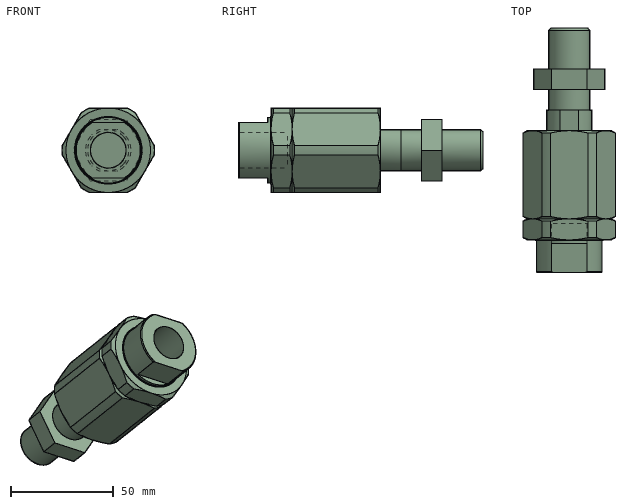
import cadquery as cq
import math

total_length = 119.0
wrench_flat_length = 14.3
cap_start = 16.0
cap_length = 10.2
body_length = 42.8
collar_length = 10.0
neck_length = 10.0
nut_thickness = 10.0

body_start = cap_start + cap_length
collar_start = body_start + body_length
stud_start = collar_start + collar_length
nut_start = stud_start + neck_length

body_across_flats = 41.0
body_corner_diameter = 45.0
hex_chamfer_angle = 30.0

stud_diameter = 20.0
stud_chamfer = 1.2
collar_diameter = 22.0
collar_across_flats = stud_diameter
nut_across_flats = 30.0

socket_diameter = 32.0
socket_across_flats = 27.0
socket_chamfer = 0.5
bore_diameter = 17.3
bore_depth = 23.8

shoulder_diameter = 32.8
shoulder_height = 0.4


def cylinder(diameter, start, length):
    """Cylinder along +Y beginning at the given station."""
    plane = cq.Workplane("XZ", origin=(0, start, 0))
    return plane.circle(diameter / 2).extrude(-length)


def hexagon(across_flats, start, length):
    """Hexagonal prism along +Y with two flats facing up and down."""
    corner_diameter = across_flats / math.cos(math.radians(30))
    plane = cq.Workplane("XZ", origin=(0, start, 0))
    return plane.polygon(6, corner_diameter).extrude(-length)


def chamfered_hexagon(start, length):
    """Hexagonal prism with turned corners and conical chamfers at both ends."""
    radial_drop = (body_corner_diameter - body_across_flats) / 2
    axial_drop = radial_drop * math.tan(math.radians(hex_chamfer_angle))
    envelope = cylinder(body_corner_diameter, start, length)
    envelope = envelope.faces("<Y or >Y").chamfer(axial_drop, radial_drop)
    return hexagon(body_across_flats, start, length).intersect(envelope)


def trim_to_flats(solid, across_flats, start, length):
    """Cut parallel wrench flats facing up and down over part of the length."""
    width = 2 * body_corner_diameter
    middle = start + length / 2
    band = cq.Workplane("XY", origin=(0, middle, 0)).box(width, length, width)
    gap = cq.Workplane("XY", origin=(0, middle, 0)).box(width, length, across_flats)
    return solid.cut(band.cut(gap))


def make_socket():
    """Round end with two wrench flats."""
    socket = cylinder(socket_diameter, 0, body_start)
    socket = socket.faces("<Y").chamfer(socket_chamfer)
    return trim_to_flats(socket, socket_across_flats, 0, wrench_flat_length)


def make_collar():
    """Stud shoulder with two wrench flats."""
    collar = cylinder(collar_diameter, collar_start, collar_length)
    return trim_to_flats(collar, collar_across_flats, collar_start, collar_length)


def make_stud():
    """Plain stud with a chamfered tip."""
    stud = cylinder(stud_diameter, collar_start, total_length - collar_start)
    return stud.faces(">Y").chamfer(stud_chamfer)


result = (
    chamfered_hexagon(body_start, body_length)
    .union(chamfered_hexagon(cap_start, cap_length))
    .union(cylinder(shoulder_diameter, cap_start - shoulder_height, shoulder_height))
    .union(make_socket())
    .union(make_collar())
    .union(make_stud())
    .union(hexagon(nut_across_flats, nut_start, nut_thickness))
    .cut(cylinder(bore_diameter, 0, bore_depth))
)